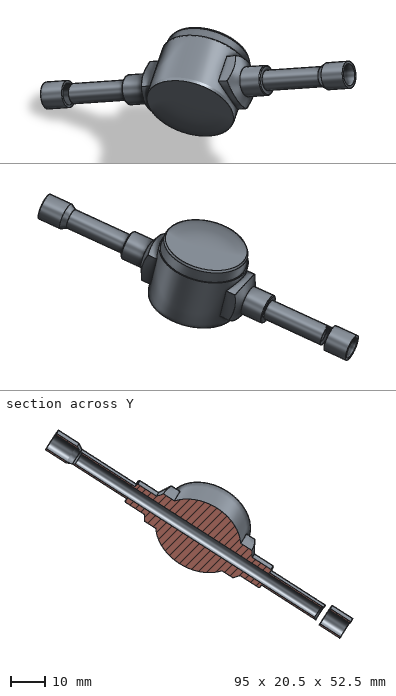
import cadquery as cq
import math

overall_x = 95.0
tilt = 26.35

body_radius = 13.3
body_front = -8.6
body_length = 16.7
front_chamfer_length = 0.95
front_chamfer_depth = 0.2

cap_base_radius = 12.9
cap_top_radius = 12.5
cap_length = 3.8
cap_chamfer = 0.7
cap_rim_inset = 0.4

nut_half_height = 6.6
nut_flat_half_width = 4.7
nut_side_half_width = 6.7
nut_end = 16.6
nut_end_angle = 30.0

sleeve_radius = 8.8 / 2
sleeve_chamfer = 0.3
sleeve_end = 23.4
tube_radius = 6.0 / 2
tube_bore_radius = 4.5 / 2
tube_mouth_radius = 5.8 / 2
tube_end = 42.2
socket_radius = 8.0 / 2
socket_bore_radius = 6.5 / 2
socket_start = 43.9
tilt_radians = math.radians(tilt)
socket_end = (overall_x / 2 - socket_radius * math.sin(tilt_radians)) / math.cos(tilt_radians)

web_thickness = 0.3
web_overlap = 0.3


def revolve_about_x(points):
    """Turn a closed outline of (distance along X, radius) points about X."""
    return cq.Workplane("XY").polyline(points).close().revolve(360, (0, 0, 0), (1, 0, 0))


def make_body():
    """Body and cap turned together about Y."""
    body_back = body_front + body_length
    cap_back = body_back + cap_length
    outline = [
        (0, body_front),
        (body_radius - front_chamfer_depth, body_front),
        (body_radius, body_front + front_chamfer_length),
        (body_radius, body_back),
        (cap_base_radius, body_back),
        (cap_top_radius, cap_back - cap_chamfer),
        (cap_top_radius - cap_rim_inset, cap_back),
        (0, cap_back),
    ]
    return cq.Workplane("XY").polyline(outline).close().revolve(360, (0, 0, 0), (0, 1, 0))


def make_nut():
    """Nut on the +X side of the origin, cut back by its conical end."""
    blank = (
        cq.Workplane("YZ")
        .moveTo(-nut_flat_half_width, nut_half_height)
        .lineTo(nut_flat_half_width, nut_half_height)
        .threePointArc((nut_side_half_width, 0), (nut_flat_half_width, -nut_half_height))
        .lineTo(-nut_flat_half_width, -nut_half_height)
        .threePointArc((-nut_side_half_width, 0), (-nut_flat_half_width, nut_half_height))
        .close()
        .extrude(nut_end)
    )
    outer_radius = 2 * nut_half_height
    setback = (outer_radius - sleeve_radius) * math.tan(math.radians(nut_end_angle))
    envelope = revolve_about_x([
        (0, 0),
        (0, outer_radius),
        (nut_end - setback, outer_radius),
        (nut_end, sleeve_radius),
        (nut_end, 0),
    ])
    return blank.intersect(envelope)


def make_cylinder(start, end, radius):
    return cq.Workplane("YZ").workplane(offset=start).circle(radius).extrude(end - start)


def make_branch():
    """Nut, sleeve and tube on the +X side, before boring."""
    sleeve = make_cylinder(0, sleeve_end, sleeve_radius)
    sleeve = sleeve.faces(">X").chamfer(sleeve_chamfer)
    tube = make_cylinder(0, tube_end, tube_radius)
    return make_nut().union(sleeve).union(tube)


def make_socket():
    outside = make_cylinder(socket_start, socket_end, socket_radius)
    bore = make_cylinder(socket_start, socket_end, socket_bore_radius)
    return outside.cut(bore)


def make_flare():
    """Hollow cone that widens the tube to the socket."""
    return revolve_about_x([
        (tube_end, tube_mouth_radius),
        (tube_end, tube_radius),
        (socket_start, socket_radius),
        (socket_start, socket_bore_radius),
    ])


def make_web():
    """Thin radial plate on the +Y side, from the tube wall to the socket wall."""
    length = socket_start - tube_end + 2 * web_overlap
    inner = (tube_mouth_radius + tube_radius) / 2
    outer = (socket_bore_radius + socket_radius) / 2
    return (
        cq.Workplane("XY")
        .box(length, outer - inner, web_thickness)
        .translate(((tube_end + socket_start) / 2, (inner + outer) / 2, 0))
    )


def to_opposite_side(shape):
    return shape.mirror("YZ")


def tilt_about_y(shape):
    """Raise the +X end by the tilt angle."""
    return shape.rotate((0, 0, 0), (0, 1, 0), -tilt)


def make_tube_bore():
    """Bore through both tubes, countersunk at each outer end."""
    mouth_depth = tube_mouth_radius - tube_bore_radius
    mouth = revolve_about_x([
        (tube_end - mouth_depth, 0),
        (tube_end - mouth_depth, tube_bore_radius),
        (tube_end, tube_mouth_radius),
        (tube_end, 0),
    ])
    bore = make_cylinder(-tube_end, tube_end, tube_bore_radius)
    return bore.union(mouth).union(to_opposite_side(mouth))


branch = make_branch()
socket = make_socket()

run = branch.union(to_opposite_side(branch)).union(make_flare()).union(socket)
run = run.union(to_opposite_side(socket)).union(to_opposite_side(make_web()))
run = tilt_about_y(run)
tube_bore = tilt_about_y(make_tube_bore())

result = make_body().union(run).cut(tube_bore)